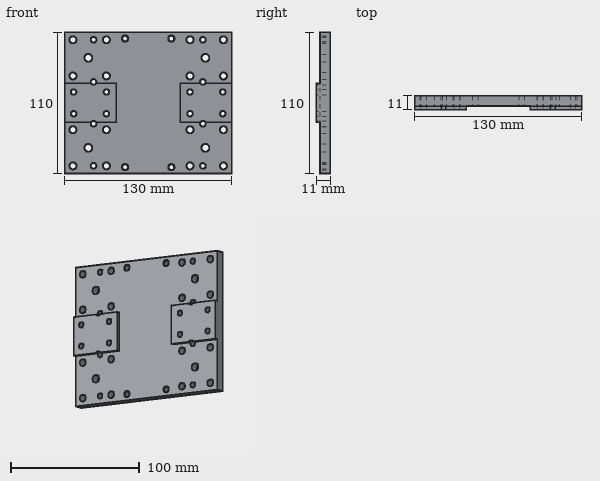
import cadquery as cq

PLATE_LENGTH = 130.0
PLATE_HEIGHT = 110.0
PLATE_THICKNESS = 8.0

PAD_LENGTH = 40.2
PAD_HEIGHT = 30.4
PAD_THICKNESS = 3.0
TOTAL_THICKNESS = PLATE_THICKNESS + PAD_THICKNESS

CORNER_HOLE_DIAMETER = 5.3
CORNER_HOLE_X = (32.5, 58.5)
CORNER_HOLE_Z = (20.9, 49.0)

DOWEL_HOLE_DIAMETER = 4.3
DOWEL_HOLE_X = 42.5
DOWEL_HOLE_Z = (16.2, 49.0)

PAD_HOLE_DIAMETER = 4.2
PAD_HOLE_X = (32.5, 58.0)
PAD_HOLE_Z = 8.5

LARGE_HOLE_DIAMETER = 6.0
LARGE_HOLE_X = (-46.5, 44.5)
LARGE_HOLE_Z = 35.0

EDGE_HOLE_SPACING_X = 36.0
EDGE_HOLE_SPACING_Z = 100.0
EDGE_HOLE_DIAMETER = 4.3
COUNTERSINK_DIAMETER = 5.1
COUNTERSINK_ANGLE = 90


def mirrored(distances):
    """Signed positions on both sides of the centre."""
    return [sign * distance for distance in distances for sign in (-1, 1)]


def grid(x_positions, z_positions):
    """Every combination of the given X and Z positions."""
    return [(x, z) for x in x_positions for z in z_positions]


def front_plane(y):
    """Sketch plane at depth y whose normal points to -Y, with local axes X and Z."""
    return cq.Workplane("XZ", origin=(0, y, 0))


def block(x_center, length, height, y_back, thickness):
    """Box that grows from y_back towards -Y."""
    return front_plane(y_back).center(x_center, 0).rect(length, height).extrude(thickness)


def through_holes(points, diameter):
    """Round cutters along Y that pass through the plate and the pads."""
    return front_plane(TOTAL_THICKNESS).pushPoints(points).circle(diameter / 2).extrude(TOTAL_THICKNESS)


body = block(0, PLATE_LENGTH, PLATE_HEIGHT, TOTAL_THICKNESS, PLATE_THICKNESS)
for pad_x in mirrored([(PLATE_LENGTH - PAD_LENGTH) / 2]):
    body = body.union(block(pad_x, PAD_LENGTH, PAD_HEIGHT, PAD_THICKNESS, PAD_THICKNESS))

hole_patterns = [
    (grid(mirrored(CORNER_HOLE_X), mirrored(CORNER_HOLE_Z)), CORNER_HOLE_DIAMETER),
    (grid(mirrored([DOWEL_HOLE_X]), mirrored(DOWEL_HOLE_Z)), DOWEL_HOLE_DIAMETER),
    (grid(mirrored(PAD_HOLE_X), mirrored([PAD_HOLE_Z])), PAD_HOLE_DIAMETER),
    (grid(LARGE_HOLE_X, mirrored([LARGE_HOLE_Z])), LARGE_HOLE_DIAMETER),
]
for points, diameter in hole_patterns:
    body = body.cut(through_holes(points, diameter))

edge_points = grid(mirrored([EDGE_HOLE_SPACING_X / 2]), mirrored([EDGE_HOLE_SPACING_Z / 2]))
result = (
    body.copyWorkplane(front_plane(PAD_THICKNESS))
    .pushPoints(edge_points)
    .cskHole(EDGE_HOLE_DIAMETER, COUNTERSINK_DIAMETER, COUNTERSINK_ANGLE)
)